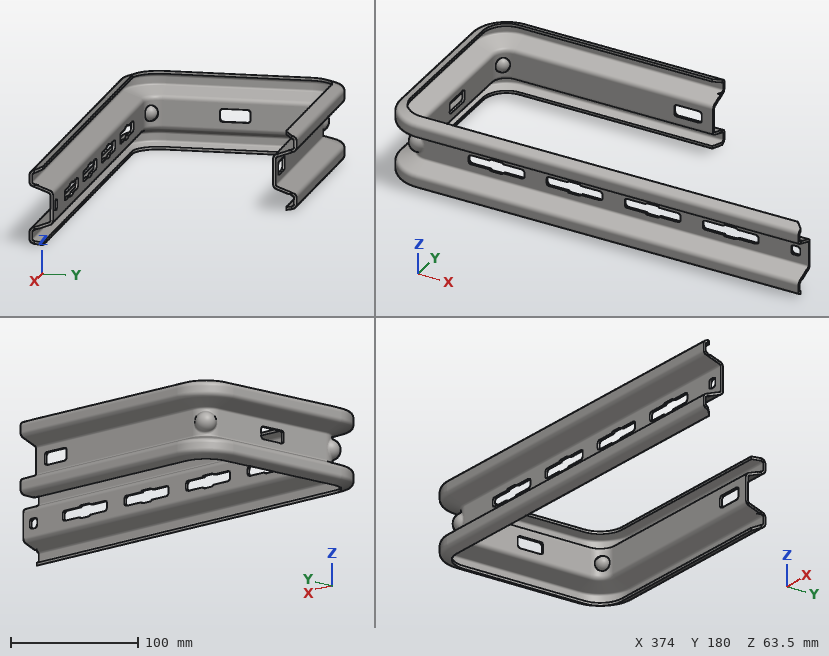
import cadquery as cq
import math

LENGTH = 374.0
SPAN = 180.0
HEIGHT = 63.5
SHORT_ARM_END = 209.5
BEND_RADIUS = 31.0

RAIL_DEPTH = 19.0
SHEET = 2.2
SHEET_BEND = 2.0
SLOPE = math.radians(20)
LIP_EDGE_DEPTH = 9.7
WALL_START = 17.5

LIP_CUT = 5.5

KEY_SLOT_LENGTH = 50.0
KEY_SLOT_WIDTH = 8.2
KEY_SLOT_FIRST = 94.2
KEY_SLOT_PITCH = 70.0
KEY_SLOT_COUNT = 4
KEY_BULGE_LENGTH = 13.5
KEY_BULGE_WIDTH = 10.5
END_HOLE_INSET = 11.5
PLAIN_SLOT_LENGTH = 24.5
PLAIN_SLOT_WIDTH = 10.5
SHORT_ARM_SLOT_INSET = 22.5
OPENING_CORNER = 2.5

DOME_RADIUS = 8.5
DOME_OFFSET = 12.5
DOME_FILLET = 2.0


def offset_side(corners, distance):
    """Shift an open chain of points sideways, keeping mitred corners."""
    normals = []
    for (x0, y0), (x1, y1) in zip(corners, corners[1:]):
        length = math.hypot(x1 - x0, y1 - y0)
        normals.append((-(y1 - y0) / length, (x1 - x0) / length))
    before = [normals[0]] + normals
    after = normals + [normals[-1]]
    shifted = []
    for (x, y), (ax, ay), (bx, by) in zip(corners, before, after):
        scale = distance / (1 + ax * bx + ay * by)
        shifted.append((x + scale * (ax + bx), y + scale * (ay + by)))
    return shifted


def rounded_outline(plane, corners):
    """Closed wire through (x, y, radius) corners; radius 0 stays sharp."""
    outline = None
    count = len(corners)
    for i, (x, y, radius) in enumerate(corners):
        px, py, _ = corners[i - 1]
        nx, ny, _ = corners[(i + 1) % count]
        back = math.atan2(py - y, px - x)
        ahead = math.atan2(ny - y, nx - x)
        turn = math.remainder(ahead - back, 2 * math.pi)
        half = abs(turn) / 2
        tangent = radius / math.tan(half)
        start = (x + tangent * math.cos(back), y + tangent * math.sin(back))
        end = (x + tangent * math.cos(ahead), y + tangent * math.sin(ahead))
        outline = outline.lineTo(*start) if outline else plane.moveTo(*start)
        if radius > 0:
            middle = back + turn / 2
            reach = radius / math.sin(half) - radius
            apex = (x + reach * math.cos(middle), y + reach * math.sin(middle))
            outline = outline.threePointArc(apex, end)
    return outline.close()


def rail_section():
    """Hat-shaped sheet section with folded-back lips, placed at the long arm end."""
    top = HEIGHT / 2
    slope = math.tan(SLOPE)
    floor = RAIL_DEPTH - SHEET
    upper = [
        (LIP_EDGE_DEPTH, top),
        (0, top - LIP_EDGE_DEPTH * slope),
        (0, WALL_START),
        (floor, WALL_START - floor * slope),
    ]
    outer = upper + [(depth, -z) for depth, z in reversed(upper)]
    inner = offset_side(outer, SHEET)

    lip_under = top - SHEET / math.cos(SLOPE)
    inner[0] = (LIP_EDGE_DEPTH, lip_under)
    inner[-1] = (LIP_EDGE_DEPTH, -lip_under)

    tight = SHEET_BEND
    wide = SHEET_BEND + SHEET
    outer_radii = [0, wide, wide, tight, tight, wide, wide, 0]
    inner_radii = [0, tight, tight, wide, wide, tight, tight, 0]
    outer_side = [(d, z, r) for (d, z), r in zip(outer, outer_radii)]
    inner_side = [(d, z, r) for (d, z), r in zip(inner, inner_radii)]
    arm_end = cq.Workplane("YZ", origin=(LENGTH, 0, 0))
    return rounded_outline(arm_end, outer_side + inner_side[::-1])


def bent_rail():
    """Sweep the section along the U-shaped line of the outer face."""
    diagonal = BEND_RADIUS * (1 - math.sqrt(0.5))
    path = (
        cq.Workplane("XY")
        .moveTo(LENGTH, 0)
        .lineTo(BEND_RADIUS, 0)
        .threePointArc((diagonal, diagonal), (0, BEND_RADIUS))
        .lineTo(0, SPAN - BEND_RADIUS)
        .threePointArc((diagonal, SPAN - diagonal), (BEND_RADIUS, SPAN))
        .lineTo(SHORT_ARM_END, SPAN)
    )
    return rail_section().sweep(path)


def rounded_opening(length, width):
    """Cutter centred on the origin: length along X, width along Z, through Y."""
    return (
        cq.Workplane("XY")
        .box(length, 2 * RAIL_DEPTH, width)
        .edges("|Y")
        .fillet(OPENING_CORNER)
    )


def long_arm_openings():
    """Row of slots widened in the middle, and a square hole near the end."""
    slot = rounded_opening(KEY_SLOT_LENGTH, KEY_SLOT_WIDTH)
    slot = slot.union(rounded_opening(KEY_BULGE_LENGTH, KEY_BULGE_WIDTH))
    square_hole = rounded_opening(KEY_SLOT_WIDTH, KEY_SLOT_WIDTH)
    cutter = square_hole.translate((LENGTH - END_HOLE_INSET, RAIL_DEPTH, 0))
    for i in range(KEY_SLOT_COUNT):
        cutter = cutter.union(slot.translate((KEY_SLOT_FIRST + i * KEY_SLOT_PITCH, RAIL_DEPTH, 0)))
    return cutter


def plain_slots():
    """One slot near the short arm end and one in the middle of the bridge."""
    slot = rounded_opening(PLAIN_SLOT_LENGTH, PLAIN_SLOT_WIDTH)
    short_arm = slot.translate((SHORT_ARM_END - SHORT_ARM_SLOT_INSET, SPAN - RAIL_DEPTH, 0))
    bridge = slot.rotate((0, 0, 0), (0, 0, 1), 90).translate((RAIL_DEPTH, SPAN / 2, 0))
    return short_arm.union(bridge)


def lip_cuts(x, y, inward):
    """Triangles at an arm end that bevel the free corners of both lips."""
    lip_edge = y + inward * LIP_EDGE_DEPTH
    triangle = (
        cq.Workplane("XY")
        .moveTo(x - LIP_CUT, lip_edge)
        .lineTo(x, lip_edge)
        .lineTo(x, lip_edge - inward * LIP_CUT)
        .close()
        .extrude(HEIGHT / 2 - WALL_START)
    )
    return triangle.translate((0, 0, WALL_START)).union(triangle.translate((0, 0, -HEIGHT / 2)))


def add_corner_dome(rail, y, inward):
    """Press a hollow dome outward through the web at the corner next to the arm at y."""
    corner = cq.Vector(BEND_RADIUS, y + inward * BEND_RADIUS, 0)
    outward = cq.Vector(-1, -inward, 0).normalized()
    centre = corner + outward * DOME_OFFSET
    dome = cq.Workplane("XY", origin=centre.toTuple()).sphere(DOME_RADIUS)
    hollow = cq.Workplane("XY", origin=centre.toTuple()).sphere(DOME_RADIUS - SHEET)
    inside_corner = (
        cq.Workplane("XY", origin=(corner.x, corner.y, -HEIGHT / 2))
        .circle(BEND_RADIUS - RAIL_DEPTH)
        .extrude(HEIGHT)
    )
    rail = rail.union(dome.cut(inside_corner))

    reach = cq.Vector(BEND_RADIUS, BEND_RADIUS, SHEET)
    mid_height = cq.selectors.BoxSelector((corner - reach).toTuple(), (corner + reach).toTuple())
    outermost = cq.selectors.DirectionMinMaxSelector(outward, True)
    rail = rail.edges(mid_height).edges(outermost).fillet(DOME_FILLET)
    return rail.cut(hollow)


result = bent_rail().cut(long_arm_openings()).cut(plain_slots())
result = result.cut(lip_cuts(LENGTH, 0, 1)).cut(lip_cuts(SHORT_ARM_END, SPAN, -1))
for y, inward in ((0, 1), (SPAN, -1)):
    result = add_corner_dome(result, y, inward)